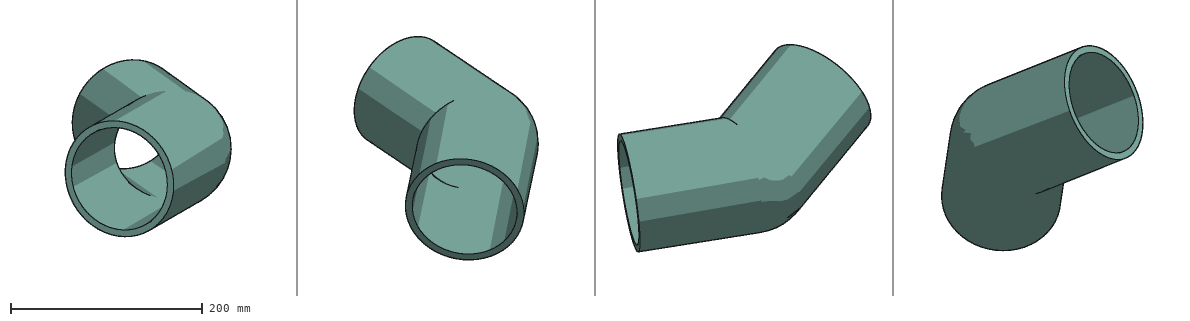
import cadquery as cq
import math

overall_length = 267.0
outer_diameter = 125.0
bore_diameter = 110.3
bend_angle = 45.0

outer_radius = outer_diameter / 2
bend_cos = math.cos(math.radians(bend_angle))
bend_sin = math.sin(math.radians(bend_angle))
leg_length = (overall_length - outer_radius * bend_sin) / (1 + bend_cos)


def leg(radius, direction):
    """Round bar running from the bend centre, at the origin, along a direction."""
    return cq.Workplane(cq.Solid.makeCylinder(radius, leg_length, cq.Vector(0, 0, 0), direction))


def bend_corner(radius):
    """Spherical wedge filling the gap between the legs on the outside of the bend."""
    return (
        cq.Workplane("YZ")
        .moveTo(0, -radius)
        .threePointArc((radius, 0), (0, radius))
        .close()
        .revolve(bend_angle, (0, 0, 0), (0, -1, 0))
    )


def elbow(radius):
    """Solid elbow: two legs joined by the rounded corner."""
    inlet_direction = cq.Vector(-1, 0, 0)
    outlet_direction = cq.Vector(bend_cos, -bend_sin, 0)
    legs = leg(radius, inlet_direction).union(leg(radius, outlet_direction))
    return legs.union(bend_corner(radius))


result = elbow(outer_radius).cut(elbow(bore_diameter / 2))